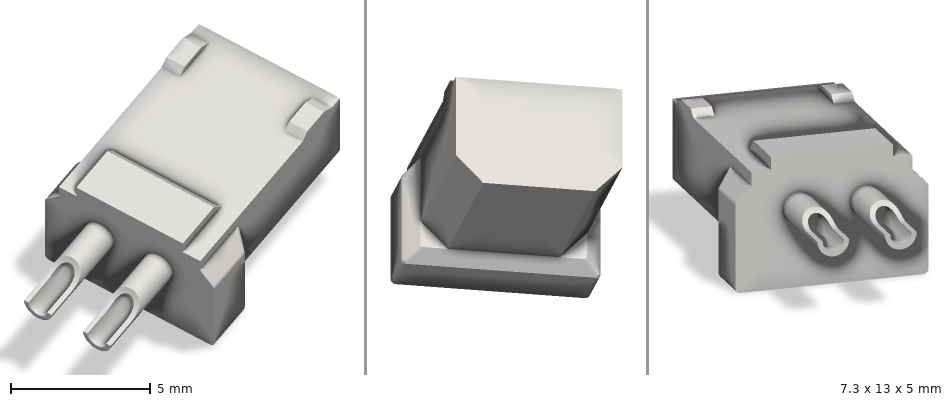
import cadquery as cq

body_width = 6.1
body_length = 9.0
body_bottom = 0.5
body_top = 4.51
body_chamfer = 1.0

flange_width = 7.3
flange_length = 2.5
flange_shoulder = 3.98
flange_bevel = 0.5
flange_round = 0.2

pad_width = 4.6
pad_top = 5.0

latch_top = 4.78
latch_width = 0.79
latch_front = 8.49
latch_crest_front = 7.97
latch_crest_rear = 6.9
latch_rear = 6.59

pin_spacing = 2.55
pin_height = 2.99
pin_diameter = 1.2
pin_length = 4.0
bore_diameter = 0.8
bore_depth = 3.0
cup_length = 1.21
cup_arc_radius = 1.09

flange_step = (flange_width - body_width) / 2
flange_side_top = flange_shoulder - flange_step
pad_slope = pad_top - body_top


def extrude_along_x(points, x_start, width):
    """Extrude a closed outline of (y, z) points towards +X."""
    return cq.Workplane("YZ", origin=(x_start, 0, 0)).polyline(points).close().extrude(width)


def make_body():
    """Long housing block with both lower side edges chamfered."""
    block = cq.Workplane("XY").box(
        body_width, body_length, body_top - body_bottom, centered=(True, False, False)
    )
    return block.edges("|Y and <Z").chamfer(body_chamfer).translate((0, 0, body_bottom))


def make_flange():
    """Rear flange with 45 degree shoulders, bevelled front and rounded side edges."""
    half_body = body_width / 2
    half_flange = flange_width / 2
    bevel_rear = flange_length - flange_bevel

    section = [
        (-half_flange, 0),
        (half_flange, 0),
        (half_flange, flange_side_top),
        (half_body, flange_shoulder),
        (half_body, body_top),
        (-half_body, body_top),
        (-half_body, flange_shoulder),
        (-half_flange, flange_side_top),
    ]
    plan = [
        (-half_flange, 0),
        (half_flange, 0),
        (half_flange, bevel_rear),
        (half_body, flange_length),
        (-half_body, flange_length),
        (-half_flange, bevel_rear),
    ]
    profile = [
        (0, 0),
        (bevel_rear, 0),
        (flange_length, body_bottom),
        (flange_length, body_top),
        (0, body_top),
    ]
    flange = cq.Workplane("XZ").polyline(section).close().extrude(-flange_length)
    flange = flange.intersect(cq.Workplane("XY").polyline(plan).close().extrude(body_top))
    flange = flange.intersect(extrude_along_x(profile, -half_flange, flange_width))

    side_edges = flange.faces("<X or >X").edges("not <Y")
    skew_edges = flange.edges("not (#X or #Y or #Z)")
    return flange.newObject(side_edges.vals() + skew_edges.vals()).fillet(flange_round)


def make_pad():
    """Raised pad above the flange with a sloped front."""
    profile = [
        (0, body_bottom),
        (flange_length, body_bottom),
        (flange_length, body_top),
        (flange_length - pad_slope, pad_top),
        (0, pad_top),
    ]
    return extrude_along_x(profile, -pad_width / 2, pad_width)


def make_latch(x_start):
    """Low ramped ridge on the housing top."""
    profile = [
        (latch_rear, body_top),
        (latch_crest_rear, latch_top),
        (latch_crest_front, latch_top),
        (latch_front, body_top),
    ]
    return extrude_along_x(profile, x_start, latch_width)


def make_pin(x):
    """Round solder-cup pin: bored from its end, with the upper half scooped away."""
    radius = pin_diameter / 2
    end = cq.Workplane("XZ", origin=(x, -pin_length, pin_height))
    pin = end.circle(radius).extrude(-pin_length)
    bore = end.circle(bore_diameter / 2).extrude(-bore_depth)

    arc_start = cup_length - pin_length
    scoop = (
        cq.Workplane("YZ", origin=(x - radius, 0, 0))
        .moveTo(-pin_length, pin_height)
        .lineTo(arc_start, pin_height)
        .radiusArc((arc_start + cup_arc_radius, pin_height + cup_arc_radius), -cup_arc_radius)
        .lineTo(-pin_length, pin_height + cup_arc_radius)
        .close()
        .extrude(pin_diameter)
    )
    return pin.cut(bore).cut(scoop)


result = make_body().union(make_flange()).union(make_pad())
for latch_x in (-body_width / 2, body_width / 2 - latch_width):
    result = result.union(make_latch(latch_x))
for pin_x in (-pin_spacing / 2, pin_spacing / 2):
    result = result.union(make_pin(pin_x))